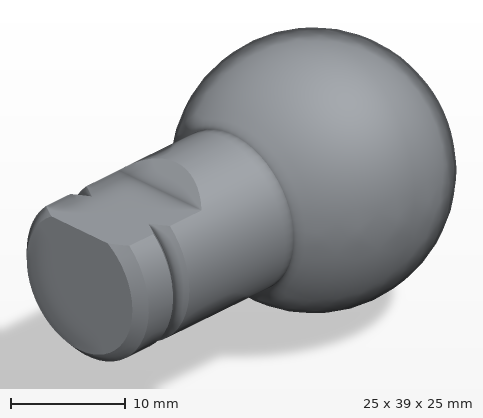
import cadquery as cq
import math

total_length = 39
ball_diameter = 25.0
stem_diameter = 15.0
end_chamfer = 1.0
groove_depth = 1.0
groove_offset = 4.0
flat_height = 5.5
flat_length = 10.0

ball_radius = ball_diameter / 2
stem_radius = stem_diameter / 2
head_half_length = math.sqrt(ball_radius**2 - stem_radius**2)
stem_end = head_half_length - total_length
groove_near = stem_end + groove_offset
groove_bottom = groove_near + groove_depth
groove_far = groove_bottom + groove_depth


def turned_body():
    """Revolve the truncated ball and the grooved, chamfered stem about Y."""
    return (
        cq.Workplane("XY")
        .moveTo(0, stem_end)
        .lineTo(stem_radius - end_chamfer, stem_end)
        .lineTo(stem_radius, stem_end + end_chamfer)
        .lineTo(stem_radius, groove_near)
        .lineTo(stem_radius - groove_depth, groove_bottom)
        .lineTo(stem_radius, groove_far)
        .lineTo(stem_radius, -head_half_length)
        .threePointArc((ball_radius, 0), (stem_radius, head_half_length))
        .lineTo(0, head_half_length)
        .close()
        .revolve(360, (0, 0, 0), (0, 1, 0))
    )


def flat_cutter():
    """Material above the stem flat, ending in a 45-degree runout."""
    flat_depth = stem_radius - flat_height
    flat_end = stem_end + flat_length
    return (
        cq.Workplane("YZ")
        .moveTo(stem_end, flat_height)
        .lineTo(flat_end, flat_height)
        .lineTo(flat_end + flat_depth, stem_radius)
        .lineTo(stem_end, stem_radius)
        .close()
        .extrude(stem_radius, both=True)
    )


result = turned_body().cut(flat_cutter())